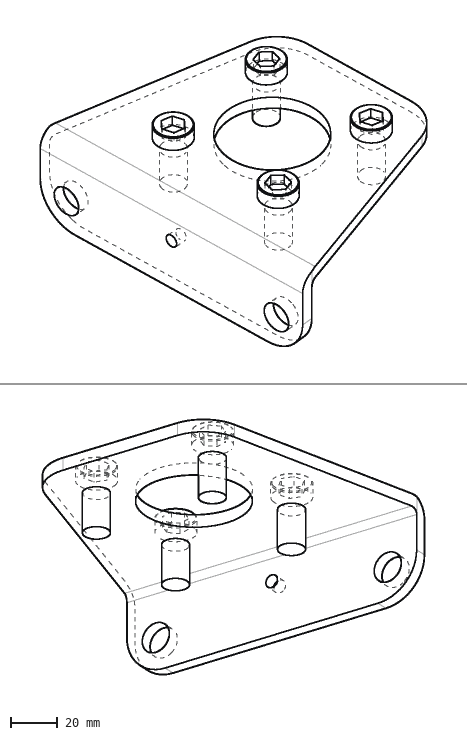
import cadquery as cq

width = 150
depth = 121.0
total_height = 53.0
head_height = 7.0
flange_height = total_height - head_height
thickness = 6
bend_outer_radius = 9
bend_inner_radius = bend_outer_radius - thickness
back_width = 90
corner_radius = 20.0

bore_diameter = 50.0
bore_y = 65.0
mount_hole_diameter = 14.0
mount_hole_spacing = 120
mount_hole_z = -30
small_hole_diameter = 6
small_hole_z = -20.0

screw_spacing = 60
shank_diameter = 12
shank_end_z = -25.0
head_diameter = 18
head_edge_chamfer = 0.5
socket_diameter = 11.4
socket_depth = 5.0
socket_angle = 45


def make_bent_sheet():
    """Constant-thickness L profile across the full width."""
    sheet = (
        cq.Workplane("YZ")
        .polyline(
            [
                (0, 0),
                (depth, 0),
                (depth, -thickness),
                (thickness, -thickness),
                (thickness, -flange_height),
                (0, -flange_height),
            ]
        )
        .close()
        .extrude(width / 2, both=True)
    )
    outer_edge = cq.selectors.NearestToPointSelector((0, 0, 0))
    inner_edge = cq.selectors.NearestToPointSelector((0, thickness, -thickness))
    sheet = sheet.edges("|X").edges(outer_edge).fillet(bend_outer_radius)
    return sheet.edges("|X").edges(inner_edge).fillet(bend_inner_radius)


def make_top_outline():
    """Prism whose sides taper from the inner flange face to the rounded back."""
    outline = (
        cq.Workplane("XY")
        .polyline(
            [
                (-width / 2, 0),
                (width / 2, 0),
                (width / 2, thickness),
                (back_width / 2, depth),
                (-back_width / 2, depth),
                (-width / 2, thickness),
            ]
        )
        .close()
        .extrude(-flange_height)
    )
    return outline.edges("|Z and >Y").fillet(corner_radius)


def cut_openings(plate):
    """Cut the large bore and the three flange holes."""
    plate = plate.cut(
        cq.Workplane("XY").center(0, bore_y).circle(bore_diameter / 2).extrude(-thickness)
    )
    flange_holes = (
        cq.Workplane("XZ")
        .pushPoints([(side * mount_hole_spacing / 2, mount_hole_z) for side in (-1, 1)])
        .circle(mount_hole_diameter / 2)
        .extrude(-thickness)
    )
    small_hole = (
        cq.Workplane("XZ")
        .center(0, small_hole_z)
        .circle(small_hole_diameter / 2)
        .extrude(-thickness)
    )
    return plate.cut(flange_holes).cut(small_hole)


def make_screw():
    """Screw standing on the origin, with its hexagon socket open to the top."""
    head = cq.Workplane("XY").circle(head_diameter / 2).extrude(head_height)
    head = head.faces(">Z").edges().chamfer(head_edge_chamfer)
    socket = (
        cq.Workplane("XY", origin=(0, 0, head_height))
        .polygon(6, socket_diameter)
        .extrude(-socket_depth)
        .rotate((0, 0, 0), (0, 0, 1), socket_angle)
    )
    shank = cq.Workplane("XY").circle(shank_diameter / 2).extrude(shank_end_z)
    return head.cut(socket).union(shank)


plate = make_bent_sheet().intersect(make_top_outline())
plate = plate.edges("|Y and <Z").fillet(corner_radius)
plate = cut_openings(plate)

screw = make_screw().translate((-screw_spacing / 2, bore_y + screw_spacing / 2, 0))
result = plate
for quarter in range(4):
    result = result.union(screw.rotate((0, bore_y, 0), (0, bore_y, 1), 90 * quarter))